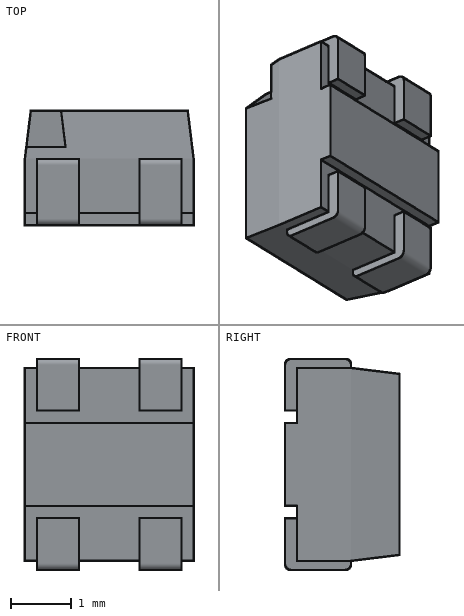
import cadquery as cq
import math

width = 2.8
depth = 1.9
height = 3.5

lead_thickness = 0.15
body_height = height - 2 * lead_thickness
body_front = 0.2
step_back = 1.1
taper_angle = 7.0
pad_height = 1.372

lead_width = 0.7
lead_spacing = 1.7
lead_foot = 0.86
lead_radius = 0.1

mark_floor = 1.3
mark_leg = 0.7


def box(size_x, size_z, y_start, y_end):
    """Box centred on X and Z between two Y positions."""
    block = cq.Workplane("XY").box(size_x, y_end - y_start, size_z, centered=(True, False, True))
    return block.translate((0, y_start, 0))


def make_body():
    front = box(width, body_height, body_front, step_back)
    pad = box(width, pad_height, 0, body_front)
    inset = (depth - step_back) * math.tan(math.radians(taper_angle))
    rear = (
        cq.Workplane("XZ", origin=(0, depth, 0))
        .rect(width - 2 * inset, body_height - 2 * inset)
        .workplane(offset=depth - step_back)
        .rect(width, body_height)
        .loft(ruled=True)
    )
    return front.union(pad).union(rear)


def make_corner_mark():
    """Triangular prism that removes the marked corner behind the floor."""
    corner_x = -width / 2
    corner_z = body_height / 2
    return (
        cq.Workplane("XZ", origin=(0, mark_floor, 0))
        .moveTo(corner_x, corner_z)
        .lineTo(corner_x + mark_leg, corner_z)
        .lineTo(corner_x, corner_z - mark_leg)
        .close()
        .extrude(mark_floor - depth)
    )


def make_lead(side_x, side_z):
    """Lead wrapped over one end of the body, with both outer edges rounded."""
    end_face = ">Z" if side_z > 0 else "<Z"
    lead = (
        box(lead_width, lead_foot, 0, step_back)
        .faces(end_face)
        .edges("|X")
        .fillet(lead_radius)
    )
    centre_z = (height - lead_foot) / 2
    return lead.translate((side_x * lead_spacing / 2, 0, side_z * centre_z))


result = make_body().cut(make_corner_mark())
for side_x in (-1, 1):
    for side_z in (-1, 1):
        result = result.union(make_lead(side_x, side_z))